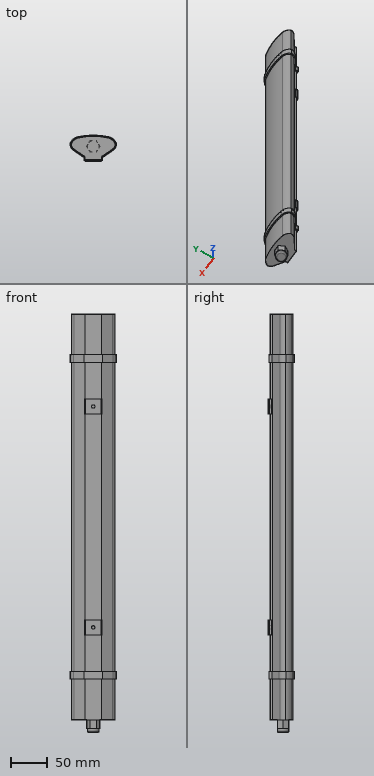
import cadquery as cq
import math

total_width = 63.0
total_depth = 36.0
total_length = 570.0
fitting_length = 17.0
body_length = total_length - fitting_length

band_thickness = 1.5
band_height = 11.0
band_end_distance = 55.5

pad_width = 24.0
pad_height = 20.5
pad_rise = 3.0
pad_overlap = 1.5
pad_chamfer = 1.5
pad_hole_diameter = 4.5
pad_end_distance = 126.0

body_half_width = total_width / 2 - band_thickness
body_depth = total_depth - band_thickness - pad_rise
back_half_width = 20.5
back_sagitta = 2.0
side_radius = 9.0
ridge_y = -10.0
foot_width = 22.0
foot_half_width = foot_width / 2
foot_height = 3.5

fitting_y = -13.5
hex_across_corners = 18.0
hex_height = 12.0
hex_across_flats = hex_across_corners * math.cos(math.pi / 6)
cap_fillet = 1.5


def body_section():
    """Closed outline: shallow back arc, round sides, straight flanks, narrow foot.

    Each side has a rear and a front arc that meet in a blunt ridge at the widest point.
    """
    side_center_x = body_half_width - side_radius

    back_radius = (back_half_width**2 + back_sagitta**2) / (2 * back_sagitta)
    half_back_angle = math.asin(back_half_width / back_radius) / 2
    back_mid = (
        back_radius * math.sin(half_back_angle),
        -back_radius * (1 - math.cos(half_back_angle)),
    )
    back_end = (back_half_width, -back_sagitta)

    root_y = -body_depth + foot_height
    dx = side_center_x - foot_half_width
    dy = ridge_y - root_y
    root_to_center = math.hypot(dx, dy)
    flank_length = math.sqrt(root_to_center**2 - side_radius**2)
    flank_angle = math.atan2(dy, dx) - math.asin(side_radius / root_to_center)
    flank_x = foot_half_width + flank_length * math.cos(flank_angle)
    flank_y = root_y + flank_length * math.sin(flank_angle)

    half_turn = (flank_angle - math.pi / 2) / 2
    front_mid_x = side_center_x + side_radius * math.cos(half_turn)
    front_mid_y = ridge_y + side_radius * math.sin(half_turn)

    return (
        cq.Workplane("XY")
        .moveTo(0, 0)
        .threePointArc(back_mid, back_end)
        .tangentArcPoint((body_half_width, ridge_y), relative=False)
        .threePointArc((front_mid_x, front_mid_y), (flank_x, flank_y))
        .lineTo(foot_half_width, root_y)
        .lineTo(foot_half_width, -body_depth)
        .lineTo(0, -body_depth)
    ).mirrorY()


def band(bottom_z):
    """Band that follows the body outline at a constant thickness."""
    outline = body_section().offset2D(band_thickness, "intersection")
    return outline.extrude(band_height).translate((0, 0, bottom_z))


def pad(center_z):
    """Plate over the foot with chamfered long edges and a blind centre hole."""
    thickness = pad_rise + pad_overlap
    front_y = -body_depth - pad_rise
    plate = (
        cq.Workplane("XY")
        .box(pad_width, thickness, pad_height)
        .faces("<Y").edges("|Z").chamfer(pad_chamfer)
    )
    return plate.translate((0, front_y + thickness / 2, center_z))


def pad_hole(center_z):
    """Hole through the part of the pad that stands proud of the foot."""
    return (
        cq.Workplane("XZ", origin=(0, -body_depth, center_z))
        .circle(pad_hole_diameter / 2)
        .extrude(pad_rise)
    )


def cable_fitting():
    """Hexagon under the body followed by a round cap with a rounded end."""
    hexagon = (
        cq.Workplane("XY", origin=(0, fitting_y, 0))
        .polygon(6, hex_across_corners)
        .extrude(-hex_height)
    )
    cap = (
        cq.Workplane("XY", origin=(0, fitting_y, -hex_height))
        .circle(hex_across_flats / 2)
        .extrude(hex_height - fitting_length)
        .faces("<Z").edges().fillet(cap_fillet)
    )
    return hexagon.union(cap)


result = body_section().extrude(body_length)

for bottom_z in (band_end_distance, body_length - band_end_distance - band_height):
    result = result.union(band(bottom_z))

for center_z in (pad_end_distance, body_length - pad_end_distance):
    result = result.union(pad(center_z)).cut(pad_hole(center_z))

result = result.union(cable_fitting())